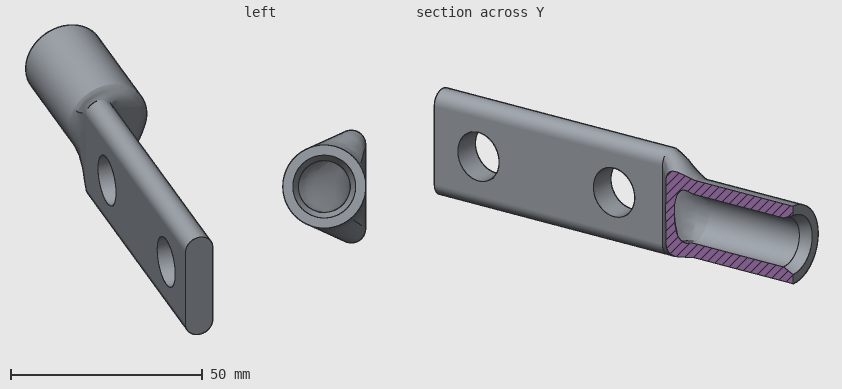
import cadquery as cq
import math

total_length = 120.14
barrel_diameter = 21.69
barrel_length = 32.6
transition_length = 12.7
pad_width = 29.46
pad_thickness = 7.62

stud_hole_diameter = 13.5
stud_hole_spacing = 44.45
end_hole_margin = 14.5

bore_diameter = 13.5
mouth_diameter = 16.4
mouth_depth = 3.1
slit_height = 0.4

barrel_seam_angles = [15, 150, 230, 345]
bore_seam_angles = [80, 100, 260, 280]

blend_spans = 3
easing_share = 0.5

straight_tolerance = 1e-6

barrel_radius = barrel_diameter / 2
pad_start = barrel_length + transition_length
pad_length = total_length - pad_start
pad_center_y = pad_thickness / 2 - barrel_radius
pad_flat_width = pad_width - pad_thickness
hole_positions = [
    total_length - end_hole_margin - stud_hole_spacing,
    total_length - end_hole_margin,
]


def circle_points(radius, seam_angles):
    """Alternating corner and mid points (y, z) around a circle on the axis."""
    points = []
    next_angles = seam_angles[1:] + [seam_angles[0] + 360]
    for start, end in zip(seam_angles, next_angles):
        for angle in (start, (start + end) / 2):
            turn = math.radians(angle)
            points.append((radius * math.cos(turn), radius * math.sin(turn)))
    return points


def slot_points(height, flat_width):
    """Alternating corner and mid points (y, z) around a round-ended slot."""
    half_height = height / 2
    half_flat = flat_width / 2
    outline = [
        (half_height, half_flat),
        (0, half_flat + half_height),
        (-half_height, half_flat),
        (-half_height, 0),
        (-half_height, -half_flat),
        (0, -half_flat - half_height),
        (half_height, -half_flat),
        (half_height, 0),
    ]
    return [(pad_center_y + y, z) for y, z in outline]


def section(x, points):
    """Closed wire at station x, with one arc or line per transition face."""
    corners = [cq.Vector(x, y, z) for y, z in points]
    edges = []
    for index in range(0, len(corners), 2):
        start = corners[index]
        middle = corners[index + 1]
        end = corners[(index + 2) % len(corners)]
        bend = (middle - start).cross(end - middle).Length
        if bend < straight_tolerance:
            edges.append(cq.Edge.makeLine(start, end))
        else:
            edges.append(cq.Edge.makeThreePointArc(start, middle, end))
    return cq.Wire.assembleEdges(edges)


def blend(start_points, end_points):
    """Solid that eases from one section to the other along the transition."""
    wires = []
    for step in range(blend_spans + 1):
        travel = step / blend_spans
        smooth = travel**2 * (3 - 2 * travel)
        share = travel + easing_share * (smooth - travel)
        points = [
            (y0 + share * (y1 - y0), z0 + share * (z1 - z0))
            for (y0, z0), (y1, z1) in zip(start_points, end_points)
        ]
        wires.append(section(barrel_length + travel * transition_length, points))
    return cq.Workplane(obj=cq.Solid.makeLoft(wires))


def make_barrel():
    return cq.Workplane("YZ").circle(barrel_radius).extrude(barrel_length)


def make_pad():
    return (
        cq.Workplane("YZ", origin=(pad_start, pad_center_y, 0))
        .slot2D(pad_width, pad_thickness, 90)
        .extrude(pad_length)
    )


def make_transition():
    return blend(
        circle_points(barrel_radius, barrel_seam_angles),
        slot_points(pad_thickness, pad_flat_width),
    )


def make_bore():
    straight = cq.Workplane("YZ").circle(bore_diameter / 2).extrude(barrel_length)
    mouth = cq.Workplane(
        obj=cq.Solid.makeCone(
            mouth_diameter / 2, bore_diameter / 2, mouth_depth, dir=cq.Vector(1, 0, 0)
        )
    )
    squeezed_end = blend(
        circle_points(bore_diameter / 2, bore_seam_angles), slot_points(slit_height, pad_flat_width)
    )
    return straight.union(mouth).union(squeezed_end)


def make_stud_holes():
    return (
        cq.Workplane("XZ")
        .pushPoints([(x, 0) for x in hole_positions])
        .circle(stud_hole_diameter / 2)
        .extrude(barrel_diameter, both=True)
    )


body = make_barrel().union(make_transition()).union(make_pad())
result = body.cut(make_bore()).cut(make_stud_holes())